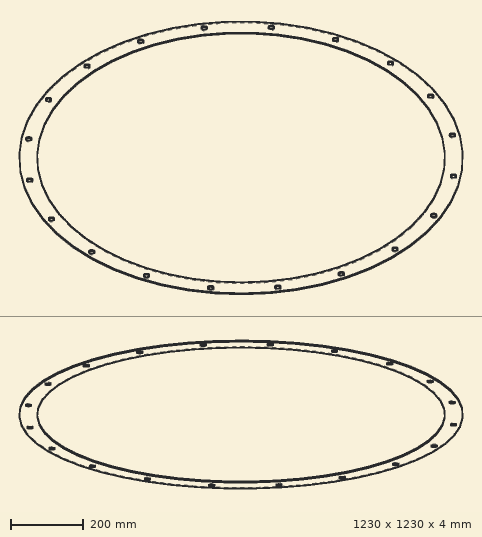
import cadquery as cq

outer_diameter = 1230.0
inner_diameter = 1130.0
thickness = 4.0

bolt_circle_diameter = 1190.0
hole_diameter = 16.0
hole_count = 20


def make_ring():
    """Flat annular plate resting on the XY plane."""
    return (
        cq.Workplane("XY")
        .circle(outer_diameter / 2)
        .circle(inner_diameter / 2)
        .extrude(thickness)
    )


def make_bolt_holes():
    """Cylinders that cut the bolt holes through the full thickness."""
    return (
        cq.Workplane("XY")
        .polarArray(bolt_circle_diameter / 2, 0, 360, hole_count)
        .circle(hole_diameter / 2)
        .extrude(thickness)
    )


result = make_ring().cut(make_bolt_holes())